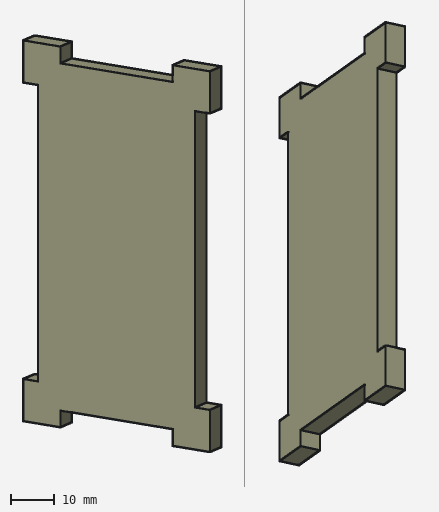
import cadquery as cq

width = 50.0
thickness = 5.0
height = 90.0

corner_size = 10.0
recess_depth = 4.0


def centred_box(size_x, size_z):
    """Plate-thick box centred on the origin."""
    return cq.Workplane("XY").box(size_x, thickness, size_z)


panel = centred_box(width - 2 * recess_depth, height - 2 * recess_depth)

corner_x = (width - corner_size) / 2
corner_z = (height - corner_size) / 2
result = panel
for side_x in (-1, 1):
    for side_z in (-1, 1):
        corner = centred_box(corner_size, corner_size)
        result = result.union(corner.translate((side_x * corner_x, 0, side_z * corner_z)))

result = result.clean()